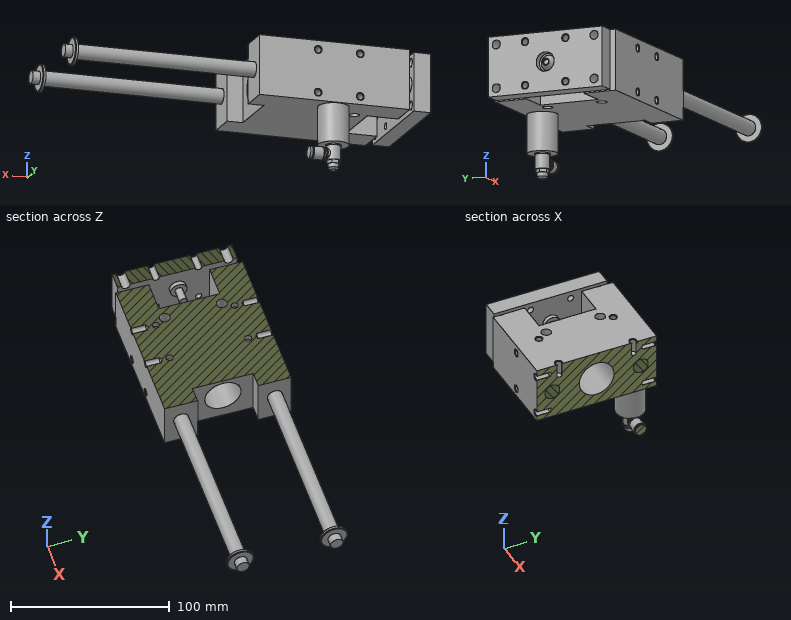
import cadquery as cq
import math


HEX_SIDES = 6

overall_length = 242.0

housing_length = 100.0
housing_width = 84.0
housing_height = 39.5
housing_top = 20.0
housing_start = 15.0
notch_width = 40.0
front_notch_depth = 20.5
rear_notch_depth = 10.5
bore_diameter = 24.0

core_diameter = 4.0
mouth_diameter = 5.0
mouth_depth = 0.5
thread_depth = 9.7
drill_tip_angle = 118.0
hole_pitch = 28.0
first_hole_offset = 33.0
top_hole_spacing = 52.0
dowel_diameter = 6.5
dowel_spacing = 37.8
dowel_offset = 28.8

rod_diameter = 10.0
rod_spacing = 62.0
rod_tail_diameter = 8.5
rod_tail_start = 237.0
stop_start = 235.0
stop_diameter = 18.0
stop_thickness = 1.5
backing_diameter = 17.0

plate_thickness = 11.4
plate_width = 79.4
plate_height = 38.7
plate_hole_diameter = 5.5
plate_hole_spacing = 68.0

screw_recess_diameter = 12.3
screw_recess_depth = 4.8
screw_head_diameter = 10.0
screw_head_height = 3.9
screw_head_top_diameter = 4.5
screw_socket_size = 4.0
screw_socket_depth = 1.5
screw_collar_diameter = 11.0
screw_collar_length = 3.0
screw_shank_diameter = 5.0
screw_shank_end = 23.7

lock_x = 62.0
lock_y = 31.0
lock_diameter = 19.8
lock_length = 25.2
fitting_collar_diameter = 10.0
fitting_collar_length = 0.7
fitting_diameter = 9.5
fitting_length = 10.2
fitting_hex_corners = 8.7
fitting_hex_length = 2.2
fitting_cap_diameter = 7.0
fitting_cap_length = 3.9
fitting_cap_chamfer = 1.2
port_drop = 6.0
port_steps = [(7.0, 4.8), (8.0, 5.5), (6.5, 6.8), (8.0, 7.5), (8.5, 14.0), (7.5, 14.8), (8.0, 16.5)]

housing_end = housing_start + housing_length
housing_mid_x = housing_start + housing_length / 2
housing_bottom = housing_top - housing_height
housing_mid_z = housing_top - housing_height / 2
plate_bottom = housing_bottom
thread_xs = [housing_start + first_hole_offset, housing_start + first_hole_offset + hole_pitch]
half_pitch = hole_pitch / 2


def disc(point, direction, diameter, length):
    """Round bar that starts at a point and runs along a direction."""
    return cq.Workplane(cq.Solid.makeCylinder(diameter / 2, length, cq.Vector(*point), cq.Vector(*direction)))


def x_disc(start, end, diameter, y=0.0, z=0.0):
    """Round bar along X between two X positions."""
    return disc((start, y, z), (1, 0, 0), diameter, end - start)


def x_cone(start, end, start_diameter, end_diameter, y=0.0, z=0.0):
    """Tapered round bar along X between two X positions."""
    base = cq.Vector(start, y, z)
    axis = cq.Vector(1, 0, 0)
    return cq.Workplane(cq.Solid.makeCone(start_diameter / 2, end_diameter / 2, end - start, base, axis))


def threaded_hole(point, direction):
    """Cutter for a blind threaded hole with a wide mouth and a pointed drill tip."""
    start = cq.Vector(*point)
    axis = cq.Vector(*direction)
    core_radius = core_diameter / 2
    tip_height = core_radius / math.tan(math.radians(drill_tip_angle / 2))
    core = cq.Solid.makeCylinder(core_radius, thread_depth, start, axis)
    tip = cq.Solid.makeCone(core_radius, 0, tip_height, start + axis * thread_depth, axis)
    mouth = cq.Solid.makeCone(mouth_diameter / 2, core_radius, mouth_depth, start, axis)
    return cq.Workplane(core).union(cq.Workplane(tip)).union(cq.Workplane(mouth))


def make_housing_block():
    block = cq.Workplane("XY").box(housing_length, housing_width, housing_height)
    block = block.translate((housing_mid_x, 0, housing_mid_z))
    for start, end in [
        (housing_start, housing_start + front_notch_depth),
        (housing_end - rear_notch_depth, housing_end),
    ]:
        notch = cq.Workplane("XY").box(end - start, notch_width, housing_height)
        block = block.cut(notch.translate(((start + end) / 2, 0, housing_mid_z)))
    block = block.cut(x_disc(housing_start, housing_end, bore_diameter))
    for side in (-1, 1):
        block = block.cut(x_disc(housing_start, housing_end, rod_diameter, side * rod_spacing / 2))
        dowel_start = (housing_start + dowel_offset, side * dowel_spacing / 2, housing_bottom)
        block = block.cut(disc(dowel_start, (0, 0, 1), dowel_diameter, housing_height))
        for x in thread_xs:
            block = block.cut(threaded_hole((x, side * top_hole_spacing / 2, housing_top), (0, 0, -1)))
            for z in (-half_pitch, half_pitch):
                block = block.cut(threaded_hole((x, side * housing_width / 2, z), (0, -side, 0)))
    return block


def make_lock_cylinder():
    """Lock cylinder and elbow fitting, hanging below the housing."""
    down = (0, 0, -1)
    lock_bottom = housing_bottom - lock_length
    hex_top = lock_bottom - fitting_length
    cap_top = hex_top - fitting_hex_length
    port_z = lock_bottom - port_drop

    lock = disc((lock_x, lock_y, housing_bottom), down, lock_diameter, lock_length)
    fitting_top = (lock_x, lock_y, lock_bottom)
    lock = lock.union(disc(fitting_top, down, fitting_diameter, fitting_length))
    lock = lock.union(disc(fitting_top, down, fitting_collar_diameter, fitting_collar_length))
    nut = cq.Workplane("XY").polygon(HEX_SIDES, fitting_hex_corners).extrude(fitting_hex_length)
    lock = lock.union(nut.translate((lock_x, lock_y, cap_top)))
    cap = disc((lock_x, lock_y, cap_top), down, fitting_cap_diameter, fitting_cap_length)
    cap = cap.faces("<Z").chamfer(fitting_cap_chamfer)
    lock = lock.union(cap)
    step_start = 0.0
    for diameter, step_end in port_steps:
        lock = lock.union(x_disc(lock_x + step_start, lock_x + step_end, diameter, lock_y, port_z))
        step_start = step_end
    return lock


housing = make_housing_block().union(make_lock_cylinder())


def make_plate():
    plate = cq.Workplane("XY").box(plate_thickness, plate_width, plate_height)
    plate = plate.translate((plate_thickness / 2, 0, plate_bottom + plate_height / 2))
    for z in (-half_pitch, half_pitch):
        for side in (-1, 1):
            clearance_y = side * plate_hole_spacing / 2
            thread_y = side * half_pitch
            plate = plate.cut(x_disc(0, plate_thickness, plate_hole_diameter, clearance_y, z))
            plate = plate.cut(x_disc(0, plate_thickness, core_diameter, thread_y, z))
            plate = plate.cut(x_cone(0, mouth_depth, mouth_diameter, core_diameter, thread_y, z))
    return plate.cut(x_disc(0, screw_recess_depth, screw_recess_diameter))


def make_screw():
    """Screw with a tapered socket head, a collar behind the plate and a plain shank."""
    head_start = screw_recess_depth - screw_head_height
    head = x_cone(head_start, screw_recess_depth, screw_head_top_diameter, screw_head_diameter)
    socket = cq.Workplane("YZ").polygon(HEX_SIDES, screw_socket_size).extrude(screw_socket_depth)
    socket = socket.rotate((0, 0, 0), (1, 0, 0), 180 / HEX_SIDES)
    head = head.cut(socket.translate((head_start, 0, 0)))
    collar_end = plate_thickness + screw_collar_length
    collar = x_disc(plate_thickness, collar_end, screw_collar_diameter)
    return head.union(collar).union(x_disc(collar_end, screw_shank_end, screw_shank_diameter))


def make_rod(y):
    """Guide rod with its stop disc, backing disc and end tail."""
    stop_end = stop_start + stop_thickness
    rod = x_disc(plate_thickness, stop_start, rod_diameter, y)
    rod = rod.union(x_disc(stop_start, stop_end, stop_diameter, y))
    rod = rod.union(x_disc(stop_end, rod_tail_start, backing_diameter, y))
    return rod.union(x_disc(rod_tail_start, overall_length, rod_tail_diameter, y))


slide = make_plate().union(make_screw())
for rod_side in (-1, 1):
    slide = slide.union(make_rod(rod_side * rod_spacing / 2))

result = cq.Compound.makeCompound([housing.val(), slide.val()])